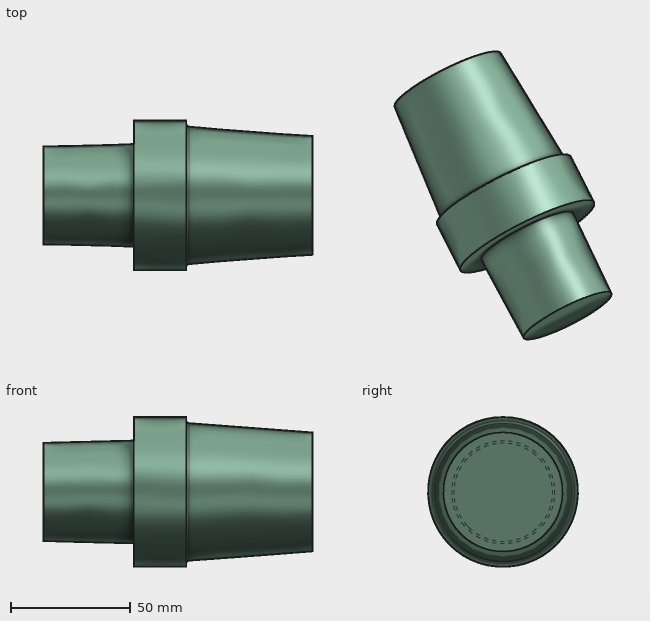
import cadquery as cq

stub_length = 38.0
collar_length = 22.0
taper_length = 53.0

stub_root_diameter = 43.25
stub_taper = 1 / 20
stub_end_diameter = stub_root_diameter - stub_taper * stub_length
collar_diameter = 63.0
taper_root_diameter = 58.0
taper_end_diameter = 50.0

root_fillet_radius = 1.0

collar_start = stub_length
collar_end = collar_start + collar_length
taper_end = collar_end + taper_length


def turned_body():
    """Revolve the half profile (axial position, radius) about the X axis."""
    half_profile = [
        (0, 0),
        (0, stub_end_diameter / 2),
        (collar_start, stub_root_diameter / 2),
        (collar_start, collar_diameter / 2),
        (collar_end, collar_diameter / 2),
        (collar_end, taper_root_diameter / 2),
        (taper_end, taper_end_diameter / 2),
        (taper_end, 0),
    ]
    return cq.Workplane("XZ").polyline(half_profile).close().revolve(360, (0, 0), (1, 0))


def with_root_fillet(body):
    """Round the inner corner where the large taper leaves the collar."""
    corner_reach = (taper_root_diameter + collar_diameter) / 4
    corner_zone = cq.selectors.BoxSelector(
        (collar_end - root_fillet_radius, -corner_reach, -corner_reach),
        (collar_end + root_fillet_radius, corner_reach, corner_reach),
        boundingbox=True,
    )
    return body.edges(corner_zone).fillet(root_fillet_radius)


result = with_root_fillet(turned_body())